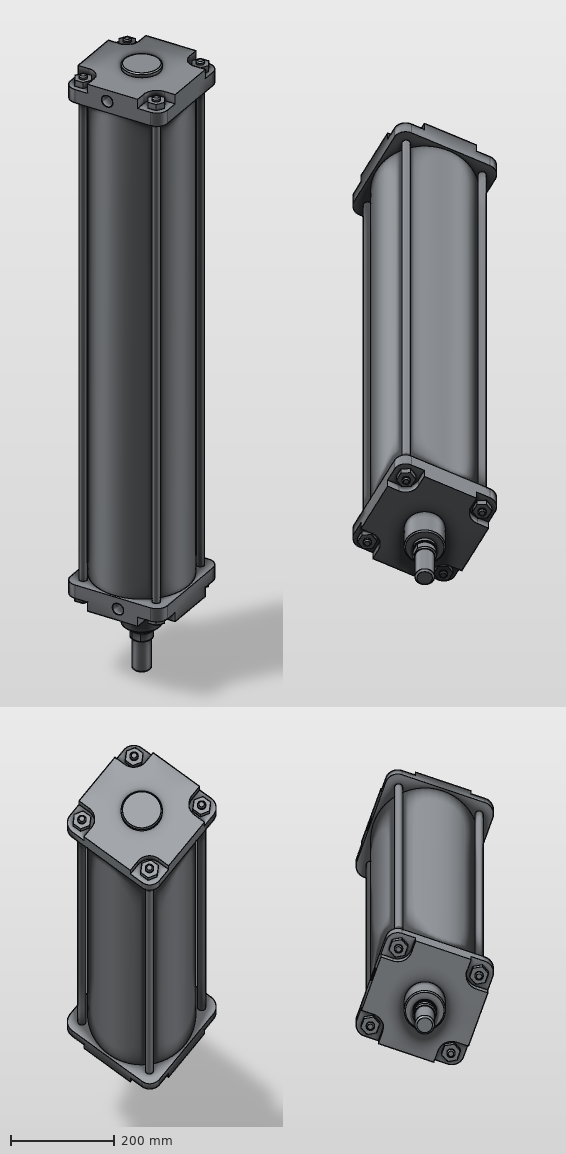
import cadquery as cq
import math

THREAD_LENGTH = 70.0
COLLAR_LENGTH = 31.0
NECK_LENGTH = 64.0
COVER_THICKNESS = 50.0
BARREL_LENGTH = 1083.0
BOSS_HEIGHT = 10.0

COLLAR_BASE = THREAD_LENGTH
NECK_BASE = COLLAR_BASE + COLLAR_LENGTH
LOWER_COVER_BASE = NECK_BASE + NECK_LENGTH
BARREL_BASE = LOWER_COVER_BASE + COVER_THICKNESS
UPPER_COVER_BASE = BARREL_BASE + BARREL_LENGTH
UPPER_COVER_TOP = UPPER_COVER_BASE + COVER_THICKNESS

COVER_WIDTH = 220.0
COVER_CORNER_RADIUS = 25.0
BOSS_DIAMETER = 80.0
NECK_DIAMETER = BOSS_DIAMETER
RIM_CHAMFER = 3.0
RECESS_WIDTH = 53.0
RECESS_DEPTH = 20.0
RECESS_RADIUS = 29.0
PORT_DIAMETER = 25.0
PORT_CHAMFER = 0.7
PORT_DEPTH = 27.0
PORT_OFFSET = 12.0

BARREL_DIAMETER = 210.0

TIE_ROD_SPACING = 166.0
TIE_ROD_DIAMETER = 16.0
NUT_SIDES = 6
NUT_ACROSS_FLATS = 33.0
NUT_HEIGHT = 14.0
TIE_ROD_CHAMFER = 3.0

ROD_DIAMETER = 46.0
WRENCH_ACROSS_FLATS = 42.0
WRENCH_FLAT_LENGTH = 19.0
COLLAR_CHAMFER = 3.0
GROOVE_WIDTH = 4.0
GROOVE_DEPTH = 1.0
THREAD_DIAMETER = 38.0
THREAD_CHAMFER = 4.0

CORNERS = [(sx, sy) for sx in (-1, 1) for sy in (-1, 1)]
TIE_ROD_POINTS = [(sx * TIE_ROD_SPACING / 2, sy * TIE_ROD_SPACING / 2) for sx, sy in CORNERS]


def cylinder(diameter, base, height):
    return cq.Workplane("XY").workplane(offset=base).circle(diameter / 2).extrude(height)


def corner_recess(sx, sy, base):
    """Cutter for the nut recess in one corner of a cover."""
    center = COVER_WIDTH / 2
    size = 2 * RECESS_WIDTH
    return (
        cq.Workplane("XY", origin=(sx * center, sy * center, base))
        .rect(size, size)
        .extrude(RECESS_DEPTH)
        .edges("|Z")
        .fillet(RECESS_RADIUS)
    )


def make_cover(base, recess_base, port_x):
    """Square plate with tie rod holes, four nut recesses and a chamfered port in its -Y side."""
    cover = (
        cq.Workplane("XY")
        .workplane(offset=base)
        .rect(COVER_WIDTH, COVER_WIDTH)
        .extrude(COVER_THICKNESS)
        .edges("|Z")
        .fillet(COVER_CORNER_RADIUS)
    )
    for sx, sy in CORNERS:
        cover = cover.cut(corner_recess(sx, sy, recess_base))
    for x, y in TIE_ROD_POINTS:
        cover = cover.cut(cylinder(TIE_ROD_DIAMETER, base, COVER_THICKNESS).translate((x, y, 0)))
    port_origin = (port_x, -COVER_WIDTH / 2, base + COVER_THICKNESS / 2)
    port = cq.Workplane("XZ", origin=port_origin).circle(PORT_DIAMETER / 2).extrude(-PORT_DEPTH)
    countersink = (
        cq.Workplane("XZ", origin=port_origin)
        .circle(PORT_DIAMETER / 2 + PORT_CHAMFER)
        .workplane(offset=-PORT_CHAMFER)
        .circle(PORT_DIAMETER / 2)
        .loft()
    )
    return cover.cut(port).cut(countersink)


def make_upper_cover():
    cover = make_cover(UPPER_COVER_BASE, UPPER_COVER_TOP - RECESS_DEPTH, -PORT_OFFSET)
    boss = cylinder(BOSS_DIAMETER, UPPER_COVER_TOP, BOSS_HEIGHT).faces(">Z").chamfer(RIM_CHAMFER)
    return cover.union(boss)


def make_lower_cover():
    """Cover with a long neck around the piston rod."""
    cover = make_cover(LOWER_COVER_BASE, LOWER_COVER_BASE, PORT_OFFSET)
    neck = cylinder(NECK_DIAMETER, NECK_BASE, NECK_LENGTH).faces("<Z").chamfer(RIM_CHAMFER)
    rod_bore = cylinder(ROD_DIAMETER, NECK_BASE, NECK_LENGTH + COVER_THICKNESS)
    return cover.union(neck).cut(rod_bore)


def make_barrel():
    return cylinder(BARREL_DIAMETER, BARREL_BASE, BARREL_LENGTH)


def make_tie_rod(x, y):
    """Rod through both covers with a hexagonal nut seated in the recess at each end."""
    lower_seat = LOWER_COVER_BASE + RECESS_DEPTH
    upper_seat = UPPER_COVER_TOP - RECESS_DEPTH
    nut_across_corners = NUT_ACROSS_FLATS / math.cos(math.pi / NUT_SIDES)
    rod = cylinder(TIE_ROD_DIAMETER, LOWER_COVER_BASE, UPPER_COVER_TOP - LOWER_COVER_BASE)
    rod = rod.faces("<Z or >Z").chamfer(TIE_ROD_CHAMFER)
    for nut_base in (lower_seat - NUT_HEIGHT, upper_seat):
        nut = (
            cq.Workplane("XY")
            .workplane(offset=nut_base)
            .polygon(NUT_SIDES, nut_across_corners)
            .extrude(NUT_HEIGHT)
        )
        rod = rod.union(nut)
    return rod.translate((x, y, 0))


def make_piston_rod():
    """Rod with a thinner thread tip, two wrench flats facing -Y and +Y, and a groove above them."""
    rod = cylinder(ROD_DIAMETER, COLLAR_BASE, BARREL_BASE - COLLAR_BASE).faces("<Z").chamfer(COLLAR_CHAMFER)
    wrench_section = (
        cq.Workplane("XY")
        .workplane(offset=COLLAR_BASE)
        .rect(ROD_DIAMETER, WRENCH_ACROSS_FLATS)
        .extrude(WRENCH_FLAT_LENGTH)
    )
    flats = cylinder(ROD_DIAMETER, COLLAR_BASE, WRENCH_FLAT_LENGTH).cut(wrench_section)
    groove_base = COLLAR_BASE + WRENCH_FLAT_LENGTH
    groove = cylinder(ROD_DIAMETER, groove_base, GROOVE_WIDTH)
    groove = groove.cut(cylinder(ROD_DIAMETER - 2 * GROOVE_DEPTH, groove_base, GROOVE_WIDTH))
    thread = cylinder(THREAD_DIAMETER, 0, THREAD_LENGTH).faces("<Z").chamfer(THREAD_CHAMFER)
    return rod.cut(flats).cut(groove).union(thread)


upper_cover = make_upper_cover()
lower_cover = make_lower_cover()
barrel = make_barrel()
piston_rod = make_piston_rod()
tie_rods = [make_tie_rod(x, y) for x, y in TIE_ROD_POINTS]

result = cq.Compound.makeCompound(
    [upper_cover.val(), lower_cover.val(), barrel.val(), piston_rod.val()]
    + [tie_rod.val() for tie_rod in tie_rods]
)